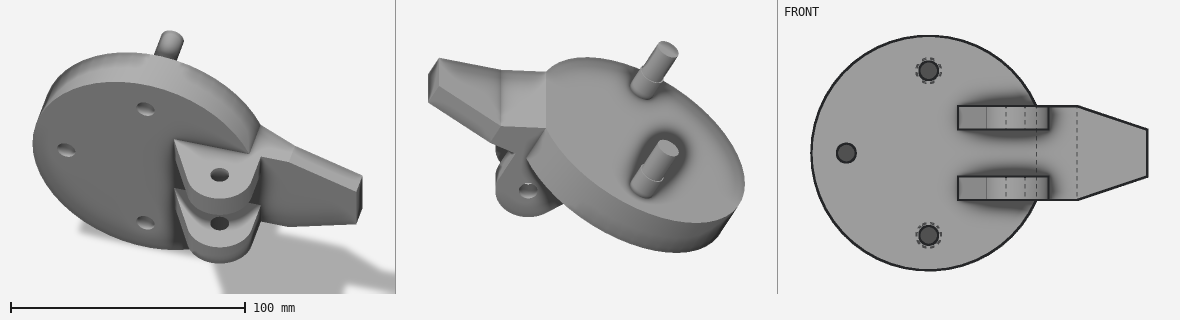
import cadquery as cq
import math

overall_length = 143
overall_depth = 72.0

disc_diameter = 100.0
disc_radius = disc_diameter / 2
disc_thickness = 18.0

lug_thickness = 10
lug_hole_diameter = 8.0
lug_radius = 14.0
lug_eye_x = 36.9
lug_eye_y = -15.0
lug_reach = lug_radius - lug_eye_y
lug_inner_x = 12.5

pattern_radius = 35.0
hole_diameter = 8.0
hole_depth = 15.0
pin_base_diameter = 11.0
pin_base_length = 10
pin_tip_diameter = 10
pin_tip_length = overall_depth - lug_reach - disc_thickness - pin_base_length

tail_half_width = 20
tail_tip_half_width = 10
tail_tip_x = overall_length - disc_radius
tail_shoulder_x = 63.2
tail_root_x = math.sqrt(disc_radius**2 - tail_half_width**2)
tail_thickness = 10


def cylinder_y(x, z, diameter, start_y, length):
    """Cylinder that runs along +Y from start_y."""
    return cq.Workplane(cq.Solid.makeCylinder(
        diameter / 2, length, cq.Vector(x, start_y, z), cq.Vector(0, 1, 0)))


def make_tail():
    side_profile = (
        cq.Workplane("XY")
        .polyline([
            (0, 0),
            (tail_tip_x, 0),
            (tail_tip_x, tail_thickness),
            (tail_shoulder_x, tail_thickness),
            (tail_root_x, disc_thickness),
            (0, disc_thickness),
        ])
        .close()
        .extrude(tail_half_width, both=True)
    )
    front_outline = (
        cq.Workplane("XZ")
        .polyline([
            (0, -tail_half_width),
            (tail_shoulder_x, -tail_half_width),
            (tail_tip_x, -tail_tip_half_width),
            (tail_tip_x, tail_tip_half_width),
            (tail_shoulder_x, tail_half_width),
            (0, tail_half_width),
        ])
        .close()
        .extrude(-disc_thickness)
    )
    return side_profile.intersect(front_outline)


def make_lug(bottom_z):
    reach_x = lug_eye_x - lug_inner_x
    reach = math.hypot(reach_x, lug_eye_y)
    tangent_angle = math.atan2(-lug_eye_y, -reach_x) + math.acos(lug_radius / reach)
    tangent_point = (
        lug_eye_x + lug_radius * math.cos(tangent_angle),
        lug_eye_y + lug_radius * math.sin(tangent_angle),
    )
    outer_x = lug_eye_x + lug_radius
    return (
        cq.Workplane("XY", origin=(0, 0, bottom_z))
        .moveTo(lug_inner_x, 0)
        .lineTo(*tangent_point)
        .threePointArc((lug_eye_x, lug_eye_y - lug_radius), (outer_x, lug_eye_y))
        .lineTo(outer_x, 0)
        .close()
        .moveTo(lug_eye_x, lug_eye_y)
        .circle(lug_hole_diameter / 2)
        .extrude(lug_thickness)
    )


def make_disc():
    """Disc with its rim cleared where the sloped tail face leaves the back face."""
    disc = cylinder_y(0, 0, disc_diameter, 0, disc_thickness)
    rim_clearance = cq.Workplane("XY").box(
        disc_radius, disc_thickness, 2 * tail_half_width, centered=(False, False, True)
    ).translate((tail_root_x, 0, 0))
    return disc.cut(rim_clearance)


body = make_disc().union(make_tail())

for lug_bottom_z in (tail_half_width - lug_thickness, -tail_half_width):
    body = body.union(make_lug(lug_bottom_z))

for hole_x, hole_z in ((0, pattern_radius), (0, -pattern_radius), (-pattern_radius, 0)):
    body = body.cut(cylinder_y(hole_x, hole_z, hole_diameter, 0, hole_depth))

pin_tip_y = disc_thickness + pin_base_length
for pin_z in (pattern_radius, -pattern_radius):
    body = body.union(cylinder_y(0, pin_z, pin_base_diameter, disc_thickness, pin_base_length))
    body = body.union(cylinder_y(0, pin_z, pin_tip_diameter, pin_tip_y, pin_tip_length))

result = body